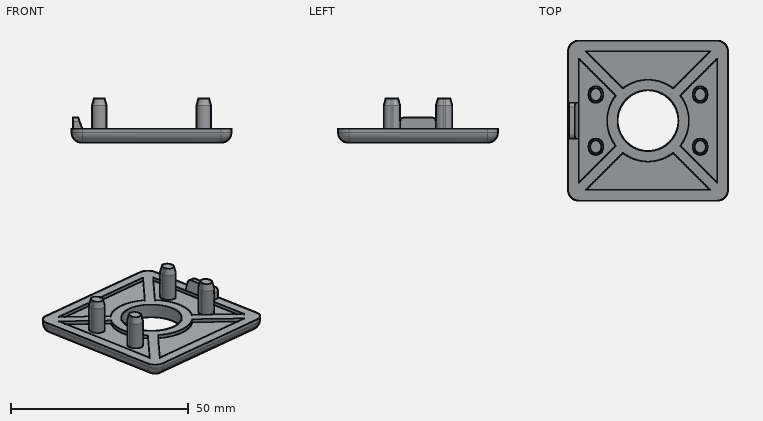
import cadquery as cq

plate_side = 45.0
plate_thickness = 4.0
edge_radius = 3.0
corner_radius = 3.05

hole_diameter = 17.0
ring_diameter = 23.0
rim_width = 3.05
rib_width = 2.85
pocket_depth = 1.0

peg_x = 14.65
peg_y = 7.35
peg_width = 4.1
peg_length = 4.65
peg_height = 8.5
peg_tip_height = 1.9
peg_tip_inset = 0.55

tab_length = 10.05
tab_height = 3.15
tab_edge_gap = 0.4
tab_top_width = 1.55
tab_corner_radius = 1.1


def make_plate():
    """Square plate with rounded corners and a rounded lower edge."""
    return (
        cq.Workplane("XY")
        .rect(plate_side, plate_side)
        .extrude(-plate_thickness)
        .edges("|Z")
        .fillet(corner_radius)
        .faces("<Z")
        .edges()
        .fillet(edge_radius)
    )


def make_pockets():
    """Four pockets left between the rim, the diagonal ribs and the ring."""
    inner_side = plate_side - 2 * rim_width
    pockets = cq.Workplane("XY").rect(inner_side, inner_side).extrude(-pocket_depth)
    ring = cq.Workplane("XY").circle(ring_diameter / 2).extrude(-pocket_depth)
    pockets = pockets.cut(ring)
    for angle in (45, -45):
        rib = (
            cq.Workplane("XY")
            .transformed(rotate=(0, 0, angle))
            .rect(2 * plate_side, rib_width)
            .extrude(-pocket_depth)
        )
        pockets = pockets.cut(rib)
    return pockets


def make_peg(x, y):
    """Peg standing on the pocket floor, with a tapered tip."""
    shoulder_z = peg_height - peg_tip_height
    shaft = (
        cq.Workplane("XY", origin=(x, y, -pocket_depth))
        .slot2D(peg_length, peg_width, 90)
        .extrude(pocket_depth + shoulder_z)
    )
    tip = (
        cq.Workplane("XY", origin=(x, y, shoulder_z))
        .slot2D(peg_length, peg_width, 90)
        .workplane(offset=peg_tip_height)
        .slot2D(peg_length - 2 * peg_tip_inset, peg_width - 2 * peg_tip_inset, 90)
        .loft(ruled=True)
    )
    return shaft.union(tip)


def make_tab():
    """Tab with a sloped inner side and rounded upper corners."""
    outer_x = -plate_side / 2 + tab_edge_gap
    base_x = -plate_side / 2 + rim_width
    profile = (
        cq.Workplane("XZ")
        .moveTo(outer_x, 0)
        .lineTo(base_x, 0)
        .lineTo(outer_x + tab_top_width, tab_height)
        .lineTo(outer_x, tab_height)
        .close()
        .extrude(tab_length / 2, both=True)
    )
    rounded_block = (
        cq.Workplane("YZ", origin=(-plate_side / 2, 0, 0))
        .rect(tab_length, 2 * tab_height)
        .extrude(rim_width)
        .edges("|X")
        .fillet(tab_corner_radius)
    )
    return profile.intersect(rounded_block)


result = make_plate().cut(make_pockets())
for x in (-peg_x, peg_x):
    for y in (-peg_y, peg_y):
        result = result.union(make_peg(x, y))
result = result.union(make_tab())

hole = cq.Workplane("XY").circle(hole_diameter / 2).extrude(-plate_thickness)
result = result.cut(hole)